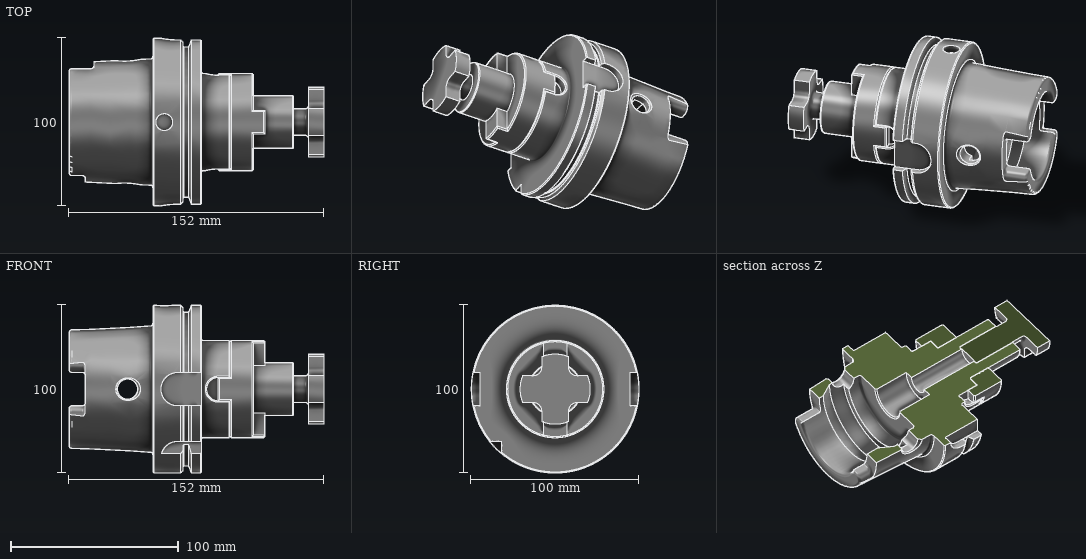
import cadquery as cq
import math


flange_face_x = 50.0
taper_end_x = 47.7
taper_end_radius = 37.7
taper_slope = 1 / 20
rim_fillet = 1.7
root_fillet = 1.0
face_recess_depth = 0.3
face_recess_radius = 39.7

bore_radius = 53.0 / 2
bore_flare_x = 17.8
clamp_groove_radius = 63.0 / 2
clamp_groove_end_x = 36.5
bore_floor_x = 45.6
bore_floor_fillet = 1.5
flare_angle = 30
tube_hole_radius = 22.3 / 2
tube_hole_mouth_radius = 24.0 / 2
tube_hole_end_x = 68.4
passage_radius = 12.0 / 2

keyway_depth_front = 9.5
keyway_depth_back = 14.7
keyway_half_width = 9.9
keyway_flare_y = 27.4
keyway_flare_radius = 4.5

radial_hole_x = 34.8
radial_hole_radius = 12.0 / 2
countersink_radius = 14.7 / 2
countersink_overrun = 1.5

flange_radius = 100.0 / 2
flange_back_x = 78.9
flange_chamfer = 0.6
groove_left_x = 66.5
groove_wall_x = 68.0
groove_floor_right_x = 71.1
groove_flank_x = 71.7
groove_right_x = 72.8
groove_left_radius = 48.5
groove_flank_radius = 47.1
groove_floor_radius = 45.9
groove_floor_chamfer = 0.5
notch_x = 54.7
notch_half_width = 9.9
notch_corner_radius = 0.999 * notch_half_width
notch_floor_y = 44.7
pocket_floor_y = 31.9
pocket_wall_z = -31.2
chip_hole_x = 56.7
chip_hole_radius = 10.0 / 2
chip_hole_depth = 5.0

neck_radius = 58.0 / 2
neck_end_x = 95.9
neck_root_fillet = 0.9
neck_root_end_x = flange_back_x + neck_root_fillet
edge_chamfer = 0.8
arbor_radius = 31.5 / 2
arbor_end_x = 133.8
arbor_chamfer_length = 0.6
arbor_chamfer_depth = 0.3

ring_front_x = 109.7
front_tab_end_x = 116.6
back_tab_end_x = 88.8
tab_half_width = 14.0 / 2
tab_floor_y = 22.8
slot_center_x = 88.9

total_length = 152.0
head_back_x = 142.5
head_radius = 41.8 / 2
screw_radius = 16.0 / 2
screw_tip_x = 106.4
screw_fillet = 2.0
lobe_half_width = screw_radius
recess_start = 13.15
lobe_count = 4


def revolve_about_x(profile):
    """Revolve an open profile of (x, radius) points, closed along the X axis."""
    return profile.close().revolve(360, (0, 0, 0), (1, 0, 0))


def cylinder_x(radius, start_x, end_x):
    return cq.Workplane("YZ").workplane(offset=start_x).circle(radius).extrude(end_x - start_x)


def block(x_range, y_range, z_range):
    """Box between two limits on each axis."""
    sizes = [high - low for low, high in (x_range, y_range, z_range)]
    corner = (x_range[0], y_range[0], z_range[0])
    return cq.Workplane("XY").box(*sizes, centered=False).translate(corner)


def turned_holder():
    """Taper, grooved flange, neck root and arbor; the slotted neck is added separately."""
    rim_radius = taper_end_radius - taper_end_x * taper_slope
    recess_x = flange_face_x - face_recess_depth
    outline = (
        cq.Workplane("XY")
        .moveTo(0, 0)
        .lineTo(0, rim_radius)
        .lineTo(taper_end_x, taper_end_radius)
        .lineTo(recess_x - root_fillet, taper_end_radius)
        .radiusArc((recess_x, taper_end_radius + root_fillet), -root_fillet)
        .lineTo(flange_face_x, face_recess_radius)
        .lineTo(flange_face_x, flange_radius - flange_chamfer)
        .lineTo(flange_face_x + flange_chamfer, flange_radius)
        .lineTo(groove_left_x, flange_radius)
        .lineTo(groove_wall_x, groove_left_radius)
        .lineTo(groove_wall_x, groove_floor_radius + groove_floor_chamfer)
        .lineTo(groove_wall_x + groove_floor_chamfer, groove_floor_radius)
        .lineTo(groove_floor_right_x, groove_floor_radius)
        .lineTo(groove_flank_x, groove_flank_radius)
        .lineTo(groove_right_x, flange_radius)
        .lineTo(flange_back_x - flange_chamfer, flange_radius)
        .lineTo(flange_back_x, flange_radius - flange_chamfer)
        .lineTo(flange_back_x, neck_radius + neck_root_fillet)
        .radiusArc((neck_root_end_x, neck_radius), -neck_root_fillet)
        .lineTo(neck_root_end_x, arbor_radius)
        .lineTo(arbor_end_x - arbor_chamfer_length, arbor_radius)
        .lineTo(arbor_end_x, arbor_radius - arbor_chamfer_depth)
        .lineTo(arbor_end_x, 0)
    )
    return revolve_about_x(outline)


def shank_cavity():
    """Bore with clamping groove, coolant tube hole, passage and screw hole."""
    flare_length = (clamp_groove_radius - bore_radius) / math.tan(math.radians(flare_angle))
    mouth_chamfer = tube_hole_mouth_radius - tube_hole_radius
    outline = (
        cq.Workplane("XY")
        .moveTo(0, 0)
        .lineTo(0, bore_radius)
        .lineTo(bore_flare_x, bore_radius)
        .lineTo(bore_flare_x + flare_length, clamp_groove_radius)
        .lineTo(clamp_groove_end_x, clamp_groove_radius)
        .lineTo(clamp_groove_end_x, bore_radius)
        .lineTo(bore_floor_x - bore_floor_fillet, bore_radius)
        .radiusArc((bore_floor_x, bore_radius - bore_floor_fillet), bore_floor_fillet)
        .lineTo(bore_floor_x, tube_hole_mouth_radius)
        .lineTo(bore_floor_x + mouth_chamfer, tube_hole_radius)
        .lineTo(tube_hole_end_x, tube_hole_radius)
        .lineTo(tube_hole_end_x, passage_radius)
        .lineTo(screw_tip_x, passage_radius)
        .lineTo(screw_tip_x, screw_radius)
        .lineTo(arbor_end_x, screw_radius)
        .lineTo(arbor_end_x, 0)
    )
    return revolve_about_x(outline)


def keyway(side, depth):
    """Rim keyway on the +Y (side = 1) or -Y (side = -1) wall; it flares open near the outer surface."""
    start_y = side * bore_radius / 2
    straight_y = side * keyway_flare_y
    flared_y = side * (keyway_flare_y + keyway_flare_radius)
    outer_y = side * flange_radius
    flared_z = keyway_half_width + keyway_flare_radius
    outer_z = flange_radius
    return (
        cq.Workplane("YZ")
        .workplane(offset=-depth)
        .moveTo(start_y, -keyway_half_width)
        .lineTo(straight_y, -keyway_half_width)
        .radiusArc((flared_y, -flared_z), side * keyway_flare_radius)
        .lineTo(flared_y, -outer_z)
        .lineTo(outer_y, -outer_z)
        .lineTo(outer_y, outer_z)
        .lineTo(flared_y, outer_z)
        .lineTo(flared_y, flared_z)
        .radiusArc((straight_y, keyway_half_width), side * keyway_flare_radius)
        .lineTo(start_y, keyway_half_width)
        .close()
        .extrude(2 * depth)
        .faces(">X")
        .edges()
        .fillet(rim_fillet)
    )


def radial_hole(side):
    """Hole through the shank wall along Y with a 45 degree countersink."""
    wall_radius = taper_end_radius - (taper_end_x - radial_hole_x) * taper_slope
    outer_y = wall_radius + countersink_overrun
    sink_y = wall_radius - (countersink_radius - radial_hole_radius)
    outer_radius = radial_hole_radius + outer_y - sink_y
    hole = (
        cq.Workplane("XY")
        .moveTo(radial_hole_x, 0)
        .lineTo(radial_hole_x + radial_hole_radius, 0)
        .lineTo(radial_hole_x + radial_hole_radius, sink_y)
        .lineTo(radial_hole_x + outer_radius, outer_y)
        .lineTo(radial_hole_x, outer_y)
        .close()
        .revolve(360, (radial_hole_x, 0, 0), (radial_hole_x, 1, 0))
    )
    return hole if side > 0 else hole.mirror("XZ")


def flange_notch(side):
    """Round-ended driving notch in the +Y or -Y side of the flange."""
    notch = block(
        (notch_x, flange_back_x),
        (notch_floor_y, flange_radius),
        (-notch_half_width, notch_half_width),
    )
    notch = notch.edges("<X and |Y").fillet(notch_corner_radius)
    return notch if side > 0 else notch.mirror("XZ")


def flange_pocket():
    """Orientation pocket cut into the lower -Y part of the flange."""
    pocket = block(
        (notch_x, flange_back_x),
        (-flange_radius, -pocket_floor_y),
        (-flange_radius, pocket_wall_z),
    )
    return pocket.edges("<X and >Z").fillet(notch_half_width)


def chip_hole():
    """Blind hole in the top of the flange."""
    floor_z = flange_radius - chip_hole_depth
    return (
        cq.Workplane("XY")
        .workplane(offset=floor_z)
        .center(chip_hole_x, 0)
        .circle(chip_hole_radius)
        .extrude(2 * chip_hole_depth)
    )


def neck_slot(side):
    """Flat-floored, round-ended slot that receives a back tab of the ring."""
    slot = (
        cq.Workplane("XZ", origin=(0, tab_floor_y, 0))
        .moveTo(neck_end_x, -tab_half_width)
        .lineTo(slot_center_x, -tab_half_width)
        .radiusArc((slot_center_x, tab_half_width), tab_half_width)
        .lineTo(neck_end_x, tab_half_width)
        .close()
        .extrude(-(neck_radius - tab_floor_y))
    )
    return slot if side > 0 else slot.mirror("XZ")


def slotted_neck():
    """Front part of the neck, with its slots and chamfered outer edges."""
    neck = cylinder_x(neck_radius, neck_root_end_x, neck_end_x)
    for side in (-1, 1):
        neck = neck.cut(neck_slot(side))
    outer_face = neck.faces("%CYLINDER").faces(cq.selectors.AreaNthSelector(-1))
    return neck.newObject(outer_face.edges("not <X").vals()).chamfer(edge_chamfer)


def make_holder():
    holder = turned_holder().union(slotted_neck()).cut(shank_cavity())
    holder = holder.cut(keyway(-1, keyway_depth_front)).cut(keyway(1, keyway_depth_back))
    holder = holder.faces("<X").edges().fillet(rim_fillet)
    for side in (-1, 1):
        holder = holder.cut(radial_hole(side)).cut(flange_notch(side))
    return holder.cut(flange_pocket()).cut(chip_hole())


def ring_tab(start_x, end_x, inner_y, turn):
    """Tab from inner_y outward, turned about X from the +Y side."""
    tab = block(
        (start_x, end_x),
        (inner_y, neck_radius),
        (-tab_half_width, tab_half_width),
    )
    return tab.rotate((0, 0, 0), (1, 0, 0), turn)


def make_ring():
    """Ring with two back tabs at +-Y in the neck slots and two front tabs at +-Z."""
    body = cylinder_x(neck_radius, neck_end_x, ring_front_x)
    for turn in (0, 180):
        body = body.union(ring_tab(back_tab_end_x, neck_end_x, tab_floor_y, turn))
        body = body.union(ring_tab(ring_front_x, front_tab_end_x, 0, turn + 90))
    body = body.intersect(cylinder_x(neck_radius, back_tab_end_x, front_tab_end_x))
    body = body.faces("%CYLINDER").edges().chamfer(edge_chamfer)
    return body.cut(cylinder_x(arbor_radius, neck_end_x, front_tab_end_x))


def make_screw():
    """Screw with a four-lobed head; quarter-round recesses separate the lobes."""
    shank = (
        cq.Workplane("XY")
        .moveTo(screw_tip_x, 0)
        .lineTo(screw_tip_x, screw_radius)
        .lineTo(head_back_x - screw_fillet, screw_radius)
        .radiusArc((head_back_x, screw_radius + screw_fillet), -screw_fillet)
        .lineTo(head_back_x, 0)
    )
    head = cylinder_x(head_radius, head_back_x, total_length)
    recess = (
        cq.Workplane("YZ")
        .workplane(offset=head_back_x)
        .moveTo(recess_start, lobe_half_width)
        .radiusArc((lobe_half_width, recess_start), recess_start - lobe_half_width)
        .lineTo(lobe_half_width, head_radius)
        .lineTo(head_radius, head_radius)
        .lineTo(head_radius, lobe_half_width)
        .close()
        .extrude(total_length - head_back_x)
    )
    for index in range(lobe_count):
        head = head.cut(recess.rotate((0, 0, 0), (1, 0, 0), index * 360 / lobe_count))
    return revolve_about_x(shank).union(head)


holder = make_holder()
ring = make_ring()
screw = make_screw()
result = cq.Compound.makeCompound([holder.val(), ring.val(), screw.val()])